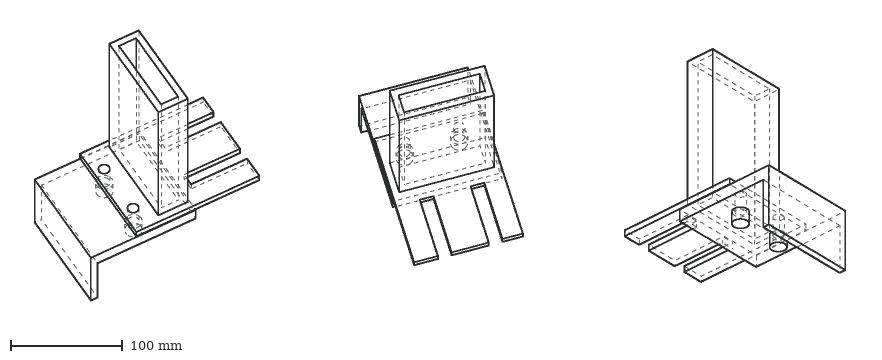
import cadquery as cq

plate_width = 101.3
plate_length = 127.0
plate_thickness = 6.5
slot_width = 12.7
slot_depth = 57.8
slot_starts_x = (19.1, 66.5)

tube_wall = 6.5
tube_width = plate_width - 2 * tube_wall
tube_depth = 30.5
tube_front_y = 26.5

bracket_shift = 0.7
bracket_width = plate_width
bracket_thickness = 12.7
bracket_overhang = 47.1
bracket_length = 108.0
leg_thickness = 7.0
leg_height = 63.3

total_height = 222.2
tube_height = total_height - leg_height - plate_thickness

shank_diameter = 10.2
head_diameter = 15.5
head_height = 12.7
pin_centres = ((25.8, 10.2), (76.7, 11.0))


def box(x, y, z, width, length, height):
    """Box given by its lowest corner and its sizes."""
    return cq.Workplane("XY").box(width, length, height, centered=False).translate((x, y, z))


def make_plate():
    plate = box(0, 0, 0, plate_width, plate_length, plate_thickness)
    for slot_x in slot_starts_x:
        slot = box(slot_x, plate_length - slot_depth, 0, slot_width, slot_depth, plate_thickness)
        plate = plate.cut(slot)
    return plate


def make_tube():
    outside = box(tube_wall, tube_front_y, plate_thickness, tube_width, tube_depth, tube_height)
    bore = box(
        2 * tube_wall,
        tube_front_y + tube_wall,
        plate_thickness,
        tube_width - 2 * tube_wall,
        tube_depth - 2 * tube_wall,
        tube_height,
    )
    return outside.cut(bore)


def make_bracket():
    flange = box(
        bracket_shift, -bracket_overhang, -bracket_thickness,
        bracket_width, bracket_length, bracket_thickness,
    )
    leg = box(
        bracket_shift, -bracket_overhang, -leg_height,
        bracket_width, leg_thickness, leg_height,
    )
    return flange.union(leg)


def make_pin(x, y):
    shank_length = plate_thickness + bracket_thickness
    head = cq.Workplane("XY").circle(head_diameter / 2).extrude(head_height)
    pin = head.faces(">Z").workplane().circle(shank_diameter / 2).extrude(shank_length)
    return pin.translate((x, y, -bracket_thickness - head_height))


pins = [make_pin(x, y) for x, y in pin_centres]

stand = make_plate().union(make_tube()).union(make_bracket())
for pin in pins:
    stand = stand.cut(pin)

result = cq.Compound.makeCompound([stand.val(), *[pin.val() for pin in pins]])